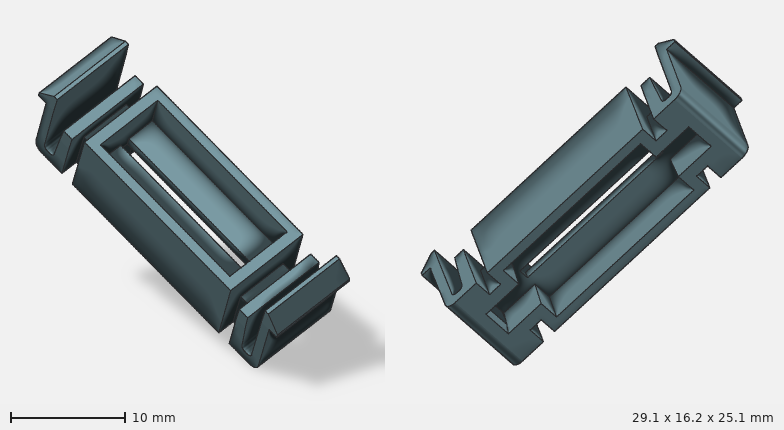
import cadquery as cq
import math


pitch_angle = 33.4
roll_angle = 20.0

body_length = 18.92
body_top_length = 18.85
body_width = 8.75
body_height = 8.0
web_thickness = 1.0
web_bottom = 3.5
web_top = web_bottom + web_thickness
pocket_length = 16.7
pocket_width = 6.93
draft_angle = 2.0

channel_width = 2.9
channel_half_length = 12.35
slot_width = 1.0

neck_width = 5.3
neck_height = 4.65
neck_draft_angle = 1.0

leg_inner = 10.8
leg_outer_bottom = 12.13
leg_outer_top = 11.87
leg_straight_height = neck_height
leg_height = 6.4
arm_inner = 13.35
arm_thickness = 1.0
arm_outer = arm_inner + arm_thickness
arm_lean_angle = 0.4
bend_radius = 1.0
gap_bottom = 1.13
gap_radius = 0.5
gap_round_top = gap_bottom + gap_radius

barb_reach = 1.0
barb_lip = 0.47
barb_height = 2.05
barb_top_width = 0.4


def extrude_across(outline):
    """Extrude an outline drawn in XZ over the full width of the part."""
    return outline.close().extrude(body_width / 2, both=True)


def draft_sides(solid, base, height):
    """Lean the two Y sides of a solid inwards above the base level."""
    half_base = body_width / 2
    half_top = half_base - height * math.tan(math.radians(draft_angle))
    envelope = (
        cq.Workplane("YZ")
        .polyline([
            (-half_base, base),
            (half_base, base),
            (half_top, base + height),
            (-half_top, base + height),
        ])
        .close()
        .extrude(body_length, both=True)
    )
    return solid.intersect(envelope)


def make_body():
    """Solid block whose two ends lean slightly inwards towards the top."""
    return extrude_across(
        cq.Workplane("XZ").polyline([
            (-body_length / 2, 0),
            (body_length / 2, 0),
            (body_top_length / 2, body_height),
            (-body_top_length / 2, body_height),
        ])
    )


def make_tapered_block(length, width, angle, base, end):
    """Block between two levels whose four sides close in from base to end."""
    inset = 2 * abs(end - base) * math.tan(math.radians(angle))
    return (
        cq.Workplane("XY", origin=(0, 0, base))
        .rect(length, width)
        .workplane(offset=end - base)
        .rect(length - inset, width - inset)
        .loft(ruled=True)
    )


def make_necks():
    """Bar through the body that emerges at both ends and runs into the legs."""
    bar_length = leg_inner + leg_outer_top
    return make_tapered_block(bar_length, neck_width, neck_draft_angle, 0, neck_height)


def make_pocket(mouth, floor):
    return make_tapered_block(pocket_length, pocket_width, draft_angle, mouth, floor)


def leg_outer_at(height):
    """Slot side of the leaning leg at a given height."""
    share = (height - gap_round_top) / (leg_height - gap_round_top)
    return leg_outer_bottom + share * (leg_outer_top - leg_outer_bottom)


def arm_shift_at(height):
    """Outward shift of the leaning arm at a given height."""
    return (height - gap_round_top) * math.tan(math.radians(arm_lean_angle))


def make_clip():
    """U-shaped spring clip at the +X end: leg, bend, arm and barb."""
    barb_top = body_height + barb_height
    arm_top_inner = arm_inner + arm_shift_at(body_height)
    arm_top_outer = arm_outer + arm_shift_at(body_height)
    barb_top_inner = arm_inner + arm_shift_at(barb_top)
    leg_shoulder = leg_outer_at(leg_straight_height)
    base = extrude_across(
        cq.Workplane("XZ")
        .moveTo(leg_inner, 0)
        .lineTo(arm_outer - bend_radius, 0)
        .radiusArc((arm_outer, bend_radius), -bend_radius)
        .lineTo(arm_top_outer, body_height)
        .lineTo(arm_top_inner, body_height)
        .lineTo(arm_inner, gap_round_top)
        .radiusArc((arm_inner - gap_radius, gap_bottom), gap_radius)
        .lineTo(leg_outer_bottom + gap_radius, gap_bottom)
        .radiusArc((leg_outer_bottom, gap_round_top), gap_radius)
        .lineTo(leg_shoulder, leg_straight_height)
        .lineTo(leg_inner, leg_straight_height)
    )
    leg_tip = extrude_across(
        cq.Workplane("XZ").polyline([
            (leg_inner, leg_straight_height),
            (leg_shoulder, leg_straight_height),
            (leg_outer_top, leg_height),
            (leg_inner, leg_height),
        ])
    )
    barb = extrude_across(
        cq.Workplane("XZ").polyline([
            (arm_top_inner, body_height),
            (arm_top_outer + barb_reach, body_height),
            (arm_top_outer + barb_reach, body_height + barb_lip),
            (barb_top_inner + barb_top_width, barb_top),
            (barb_top_inner, barb_top),
        ])
    )
    leg_tip = draft_sides(leg_tip, leg_straight_height, leg_height - leg_straight_height)
    barb = draft_sides(barb, body_height, barb_height)
    return base.union(leg_tip).union(barb)


def make_channel():
    """Channel under the web that also opens both legs into their gaps."""
    gap_middle = (leg_outer_bottom + arm_inner) / 2
    return (
        cq.Workplane("XZ")
        .moveTo(-channel_half_length, 0)
        .lineTo(channel_half_length, 0)
        .lineTo(leg_outer_bottom, gap_round_top)
        .lineTo(gap_middle, gap_round_top)
        .lineTo(gap_middle, web_bottom)
        .lineTo(-gap_middle, web_bottom)
        .lineTo(-gap_middle, gap_round_top)
        .lineTo(-leg_outer_bottom, gap_round_top)
        .close()
        .extrude(channel_width / 2, both=True)
    )


def make_web_slot():
    floor_length = pocket_length - 2 * (body_height - web_top) * math.tan(math.radians(draft_angle))
    return (
        cq.Workplane("XY", origin=(0, 0, web_bottom))
        .box(floor_length, slot_width, web_thickness, centered=(True, True, False))
    )


clip = make_clip()
part = make_body().union(make_necks()).union(clip).union(clip.mirror("YZ"))
part = part.cut(make_pocket(body_height, web_top)).cut(make_pocket(0, web_bottom))
part = part.cut(make_channel()).cut(make_web_slot())

result = part.rotate((0, 0, 0), (0, 1, 0), pitch_angle).rotate((0, 0, 0), (1, 0, 0), roll_angle)